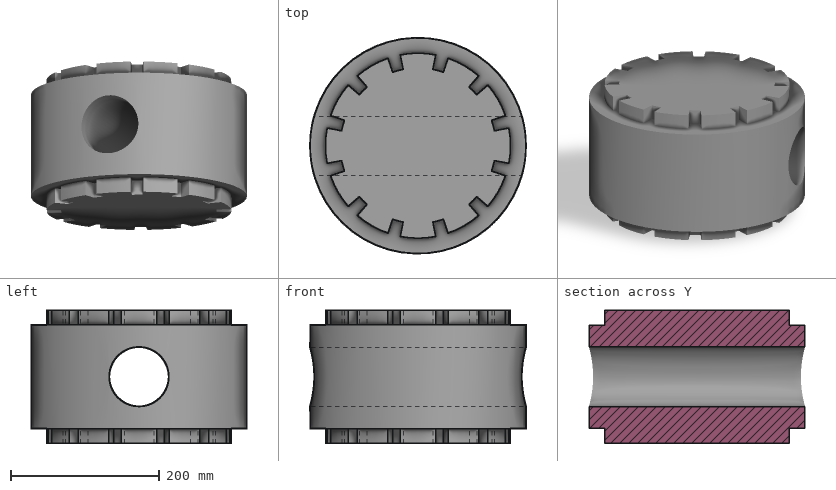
import math

import cadquery as cq

body_diameter = 292.0
body_height = 140.2
disc_diameter = 250.0
disc_height = 20.0
bore_diameter = 80.0
slot_count = 12
slot_angle = 8.0
slot_depth = 20.0

disc_radius = disc_diameter / 2
slot_floor_radius = disc_radius - slot_depth
slot_outer_radius = disc_radius + slot_depth
slot_pitch = 360 / slot_count


def polar(radius, angle):
    """Point on the XY plane at the given radius and angle in degrees."""
    return radius * math.cos(math.radians(angle)), radius * math.sin(math.radians(angle))


def make_slot_cutter(angle):
    """Ring sector with radial sides, centred on the given angle."""
    start = angle - slot_angle / 2
    end = angle + slot_angle / 2
    return (
        cq.Workplane("XY")
        .moveTo(*polar(slot_floor_radius, start))
        .threePointArc(polar(slot_floor_radius, angle), polar(slot_floor_radius, end))
        .lineTo(*polar(slot_outer_radius, end))
        .threePointArc(polar(slot_outer_radius, angle), polar(slot_outer_radius, start))
        .close()
        .extrude(disc_height)
    )


def make_slotted_disc():
    """Disc standing on the XY plane, slotted around its rim, with a tooth centred on each axis."""
    disc = cq.Workplane("XY").circle(disc_radius).extrude(disc_height)
    for index in range(slot_count):
        disc = disc.cut(make_slot_cutter((index + 0.5) * slot_pitch))
    return disc


body = cq.Workplane("XY").circle(body_diameter / 2).extrude(body_height / 2, both=True)
top_disc = make_slotted_disc().translate((0, 0, body_height / 2))
bottom_disc = top_disc.mirror("XY")

bore = cq.Workplane("YZ").circle(bore_diameter / 2).extrude(body_diameter, both=True)

result = body.union(top_disc).union(bottom_disc).cut(bore)